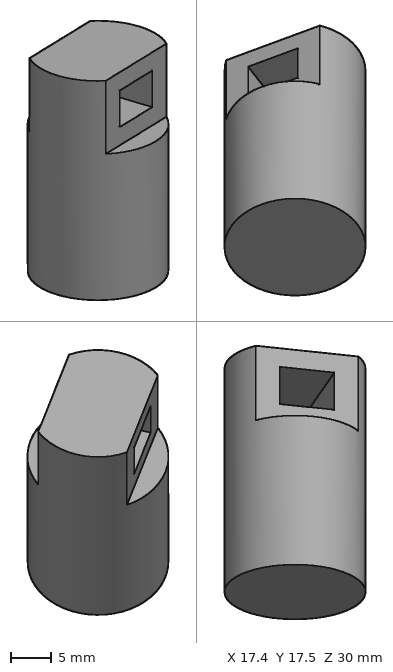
import cadquery as cq

height = 30.0
diameter = 17.45
tongue_height = height / 3
tongue_thickness = 11.5

window_width = 7.0
window_height = tongue_height / 2


def make_body():
    """Full-height cylinder standing on Z = 0."""
    return cq.Workplane("XY").circle(diameter / 2).extrude(height)


def make_tongue_envelope():
    """Slab that bounds the tongue between its two flats."""
    return (
        cq.Workplane("XY")
        .workplane(offset=height - tongue_height)
        .rect(tongue_thickness, diameter)
        .extrude(tongue_height)
    )


def make_shoulder_envelope():
    """Block enclosing the full round section below the tongue."""
    return cq.Workplane("XY").rect(diameter, diameter).extrude(height - tongue_height)


def make_window():
    """Through-cut centred on the tongue flats."""
    window_center_z = height - tongue_height / 2
    return (
        cq.Workplane("XY")
        .box(diameter, window_width, window_height)
        .translate((0, 0, window_center_z))
    )


envelope = make_shoulder_envelope().union(make_tongue_envelope())
result = make_body().intersect(envelope).cut(make_window())